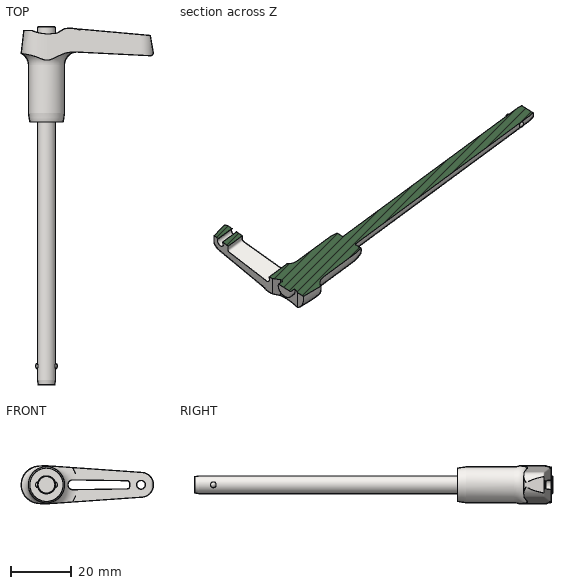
import cadquery as cq
import math


ROD_RADIUS = 3.0
ROD_END_Y = -87.0
ROD_TIP_RADIUS = 2.75
ROD_TIP_LENGTH = 1.5
BALL_RADIUS = 1.0
BALL_REACH = 3.65
BALL_Y = -80.8

BUTTON_TOP_Y = 31.6
BUTTON_EDGE_FILLET = 0.4

SLEEVE_RADIUS = 6.0
COLLAR_START_Y = 2.9
COLLAR_STEP_Y = 1.15
COLLAR_STEP_RADIUS = 5.75
SHOULDER_RADIUS = 5.5
FLARE_START_Y = 18.9
FLARE_RADIUS = 4.3
FLARE_TOP_Y = FLARE_START_Y + FLARE_RADIUS
SLEEVE_TOP_Y = 25.0

HEAD_HALF_WIDTH = 12.66 / 2
HEAD_LEFT_X = -8.4
CROWN_RADIUS = 17.0
CROWN_LEFT_X = -3.0
CROWN_RIGHT_X = -0.75
TAPER_START_X = 0.3
TIP_CENTER_X = 31.3
TIP_RADIUS = 4.15

BOTTOM_AXIS_Y = 23.68
BOTTOM_SLOPE = -0.05
TIP_CORNER_X = 35.6
TIP_TOP_X = 34.4
TIP_TOP_Y = 28.75
TIP_BOTTOM_FILLET = 1.0
HUMP_END_X = 9.3
HUMP_END_Y = 31.0
HUMP_START_X = 5.9
HUMP_START_Y = 30.95
HUMP_RISE = 0.15
DIP_RIGHT_X = 3.6
DIP_RIGHT_Y = 29.6
DIP_MIDDLE_Y = 29.25
DIP_LEFT_X = -4.9
HEAD_TOP_Y = 30.4
BACK_EDGE_FILLET = 0.4

RELIEF_RADIUS = 7.6
RELIEF_TILT = 6.5
RELIEF_START_Y = 22.9

SLOT_LEFT_X = 7.2
SLOT_RIGHT_X = 27.5
SLOT_LEFT_HALF_WIDTH = 1.6
SLOT_RIGHT_HALF_WIDTH = 1.3
SLOT_LEFT_CORNER = 1.4
SLOT_RIGHT_CORNER = 0.7
HOLE_RADIUS = 1.4

EDGE_SEARCH = 4.0
BACK_EDGE_MIN_Y = 27.0

CUT_BOTTOM_Y = 15.0
CUT_TOP_Y = 35.0


def along_y(outline):
    """Extrude an X-Z outline, drawn at CUT_BOTTOM_Y, up to CUT_TOP_Y."""
    return outline.extrude(CUT_BOTTOM_Y - CUT_TOP_Y)


def across_plane():
    """X-Z plane at the lower end of the handle range."""
    return cq.Workplane("XZ", origin=(0, CUT_BOTTOM_Y, 0))


def make_rod():
    """Rod from its tapered tip up to the rounded release button."""
    return (
        cq.Workplane("XY")
        .moveTo(0, ROD_END_Y)
        .lineTo(ROD_TIP_RADIUS, ROD_END_Y)
        .lineTo(ROD_RADIUS, ROD_END_Y + ROD_TIP_LENGTH)
        .lineTo(ROD_RADIUS, BUTTON_TOP_Y)
        .lineTo(0, BUTTON_TOP_Y)
        .close()
        .revolve(360, (0, 0, 0), (0, 1, 0))
        .faces(">Y")
        .edges()
        .fillet(BUTTON_EDGE_FILLET)
    )


def make_ball(side):
    """Locking ball that stands out of the rod on the given X side."""
    center_x = side * (BALL_REACH - BALL_RADIUS)
    return cq.Workplane("XY").sphere(BALL_RADIUS).translate((center_x, BALL_Y, 0))


def make_sleeve():
    """Collar, sleeve and the concave flare that runs into the underside of the handle."""
    flare_mid = FLARE_RADIUS * math.sqrt(0.5)
    flare_rim = SLEEVE_RADIUS + FLARE_RADIUS
    return (
        cq.Workplane("XY")
        .lineTo(SHOULDER_RADIUS, 0)
        .lineTo(COLLAR_STEP_RADIUS, COLLAR_STEP_Y)
        .lineTo(SLEEVE_RADIUS, COLLAR_START_Y)
        .lineTo(SLEEVE_RADIUS, FLARE_START_Y)
        .threePointArc((flare_rim - flare_mid, FLARE_START_Y + flare_mid), (flare_rim, FLARE_TOP_Y))
        .lineTo(flare_rim, SLEEVE_TOP_Y)
        .lineTo(0, SLEEVE_TOP_Y)
        .close()
        .revolve(360, (0, 0, 0), (0, 1, 0))
    )


def make_plan_prism():
    """Teardrop outline of the handle: wide rounded head, straight tapered sides, round tip."""
    crown_drop = CROWN_RADIUS - math.sqrt(CROWN_RADIUS**2 - (CROWN_RIGHT_X - CROWN_LEFT_X) ** 2)
    crown_left_z = HEAD_HALF_WIDTH - crown_drop
    half_way = (CROWN_RIGHT_X - CROWN_LEFT_X) / 2
    half_drop = CROWN_RADIUS - math.sqrt(CROWN_RADIUS**2 - half_way**2)
    crown_mid = (CROWN_RIGHT_X - half_way, HEAD_HALF_WIDTH - half_drop)

    reach = TIP_CENTER_X - TAPER_START_X
    tangent_angle = math.asin(TIP_RADIUS / math.hypot(reach, HEAD_HALF_WIDTH))
    slope_angle = math.atan2(HEAD_HALF_WIDTH, reach) - tangent_angle
    tangent_x = TIP_CENTER_X + TIP_RADIUS * math.sin(slope_angle)
    tangent_z = TIP_RADIUS * math.cos(slope_angle)

    outline = (
        across_plane()
        .moveTo(CROWN_LEFT_X, crown_left_z)
        .threePointArc(crown_mid, (CROWN_RIGHT_X, HEAD_HALF_WIDTH))
        .lineTo(TAPER_START_X, HEAD_HALF_WIDTH)
        .lineTo(tangent_x, tangent_z)
        .threePointArc((TIP_CENTER_X + TIP_RADIUS, 0), (tangent_x, -tangent_z))
        .lineTo(TAPER_START_X, -HEAD_HALF_WIDTH)
        .lineTo(CROWN_RIGHT_X, -HEAD_HALF_WIDTH)
        .threePointArc((crown_mid[0], -crown_mid[1]), (CROWN_LEFT_X, -crown_left_z))
        .threePointArc((HEAD_LEFT_X, 0), (CROWN_LEFT_X, crown_left_z))
        .close()
    )
    return along_y(outline)


def make_profile_prism():
    """Side profile of the handle: dip around the button, hump, and a lever that droops to a slanted tip."""
    hump_mid = ((HUMP_START_X + HUMP_END_X) / 2, HUMP_END_Y + HUMP_RISE)
    profile = (
        cq.Workplane("XY")
        .moveTo(HEAD_LEFT_X, BOTTOM_AXIS_Y + BOTTOM_SLOPE * HEAD_LEFT_X)
        .lineTo(TIP_CORNER_X, BOTTOM_AXIS_Y + BOTTOM_SLOPE * TIP_CORNER_X)
        .lineTo(TIP_TOP_X, TIP_TOP_Y)
        .lineTo(HUMP_END_X, HUMP_END_Y)
        .threePointArc(hump_mid, (HUMP_START_X, HUMP_START_Y))
        .lineTo(DIP_RIGHT_X, DIP_RIGHT_Y)
        .threePointArc((0, DIP_MIDDLE_Y), (DIP_LEFT_X, HEAD_TOP_Y))
        .lineTo(HEAD_LEFT_X, HEAD_TOP_Y)
        .close()
        .extrude(HEAD_HALF_WIDTH, both=True)
    )
    return profile.edges("|Z").edges(">X").fillet(TIP_BOTTOM_FILLET)


def make_relief():
    """Material left of a tilted cylinder, which slants the end of the head."""
    height = CUT_TOP_Y - CUT_BOTTOM_Y
    axis_x = HEAD_LEFT_X + RELIEF_RADIUS / math.cos(math.radians(RELIEF_TILT))
    keep = (
        cq.Workplane("XZ")
        .circle(RELIEF_RADIUS)
        .extrude(height, both=True)
        .rotate((0, 0, 0), (0, 0, 1), -RELIEF_TILT)
        .translate((axis_x, RELIEF_START_Y, 0))
    )
    block_width = CROWN_LEFT_X - 2 * HEAD_LEFT_X
    block_center_x = CROWN_LEFT_X - block_width / 2
    block = along_y(across_plane().center(block_center_x, 0).rect(block_width, 2 * RELIEF_RADIUS))
    return block.cut(keep)


def make_slot():
    """Slot that narrows slightly towards the tip, with rounded corners."""
    slot = along_y(
        across_plane()
        .moveTo(SLOT_LEFT_X, -SLOT_LEFT_HALF_WIDTH)
        .lineTo(SLOT_RIGHT_X, -SLOT_RIGHT_HALF_WIDTH)
        .lineTo(SLOT_RIGHT_X, SLOT_RIGHT_HALF_WIDTH)
        .lineTo(SLOT_LEFT_X, SLOT_LEFT_HALF_WIDTH)
        .close()
    )
    slot = slot.edges("|Y and <X").fillet(SLOT_LEFT_CORNER)
    return slot.edges("|Y and >X").fillet(SLOT_RIGHT_CORNER)


def make_hole():
    """Lanyard hole on the center of the tip."""
    return along_y(across_plane().center(TIP_CENTER_X, 0).circle(HOLE_RADIUS))


def make_trim():
    """Teardrop outline of the handle joined to the full round of the sleeve below the flare."""
    room = cq.Workplane("XZ").circle(SLEEVE_RADIUS).extrude(-FLARE_START_Y)
    return make_plan_prism().union(room)


def lever_back_edges():
    """Selects the long back edges of the lever, left and right of its mid plane."""
    low_corner = (HUMP_END_X + EDGE_SEARCH, BACK_EDGE_MIN_Y, -HEAD_HALF_WIDTH)
    high_corner = (TIP_CENTER_X - EDGE_SEARCH, CUT_TOP_Y, HEAD_HALF_WIDTH)
    return cq.selectors.BoxSelector(low_corner, high_corner)


def make_grip():
    """Handle joined to the sleeve, trimmed to the teardrop outline, then cut."""
    body = make_profile_prism().union(make_sleeve()).intersect(make_trim())
    body = body.edges(lever_back_edges()).fillet(BACK_EDGE_FILLET)
    return body.cut(make_relief()).cut(make_slot()).cut(make_hole())


result = make_grip().union(make_rod())
for ball_side in (-1, 1):
    result = result.union(make_ball(ball_side))